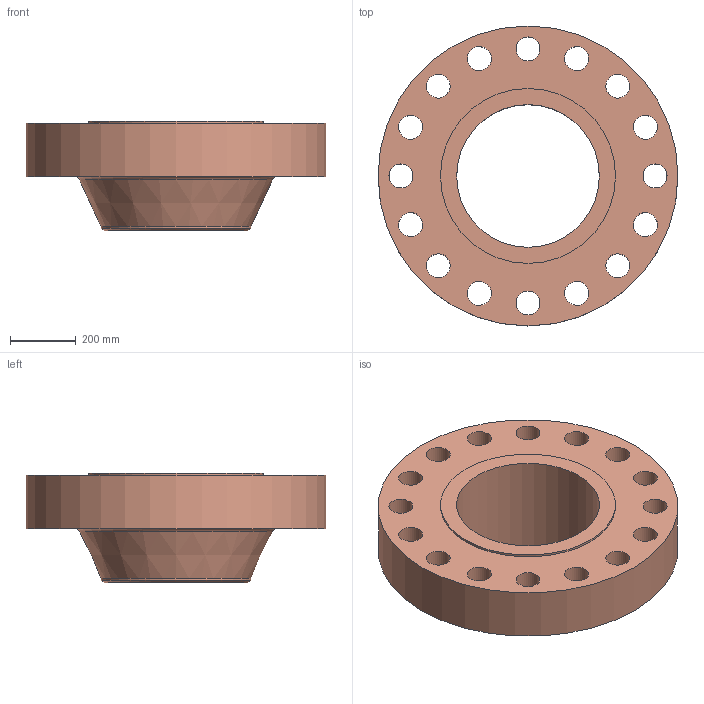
import cadquery as cq
import math

flange_diameter = 914.4
flange_thickness = 162.05
raised_face_diameter = 533.4
raised_face_height = 6.35
overall_height = 333.38

bore_diameter = 434.95
hub_base_diameter = 597.0
neck_diameter = 457.2
hub_fillet_radius = 18.0

neck_straight_length = 6.0
bevel_angle = 37.5
weld_land_width = 1.6

bolt_hole_count = 16
bolt_hole_diameter = 73.03
bolt_circle_diameter = 774.7

wall_thickness = (neck_diameter - bore_diameter) / 2
bevel_width = wall_thickness - weld_land_width
neck_bottom = bevel_width * math.tan(math.radians(bevel_angle))
neck_top = neck_bottom + neck_straight_length
flange_top = overall_height - raised_face_height
flange_bottom = flange_top - flange_thickness


def make_neck():
    """Solid tapered hub with a bevelled welding end, up to the flange underside."""
    neck_radius = neck_diameter / 2
    profile = (
        cq.Workplane("XZ")
        .moveTo(0, 0)
        .lineTo(-(neck_radius - bevel_width), 0)
        .lineTo(-neck_radius, neck_bottom)
        .lineTo(-neck_radius, neck_top)
        .lineTo(-hub_base_diameter / 2, flange_bottom)
        .lineTo(0, flange_bottom)
        .close()
    )
    return profile.revolve(360, (0, 0, 0), (0, 1, 0))


def make_disc(diameter, bottom, height):
    """Upright disc centred on the Z axis."""
    return cq.Workplane("XY").workplane(offset=bottom).circle(diameter / 2).extrude(height)


def fillet_hub_base(body):
    """Round the inside corner where the hub meets the flange underside."""
    margin = 1.0
    reach = hub_base_diameter / 2 + margin
    corner = cq.selectors.BoxSelector(
        (-reach, -reach, flange_bottom - margin),
        (reach, reach, flange_bottom + margin),
        boundingbox=True,
    )
    return body.edges(corner).fillet(hub_fillet_radius)


def cut_bolt_holes(body):
    """Drill the bolt circle straight through the flange disc."""
    holes = (
        cq.Workplane("XY")
        .workplane(offset=flange_bottom)
        .polarArray(bolt_circle_diameter / 2, 0, 360, bolt_hole_count)
        .circle(bolt_hole_diameter / 2)
        .extrude(flange_thickness)
    )
    return body.cut(holes)


flange = make_disc(flange_diameter, flange_bottom, flange_thickness)
raised_face = make_disc(raised_face_diameter, flange_top, raised_face_height)
bore = make_disc(bore_diameter, 0, overall_height)

body = fillet_hub_base(flange.union(make_neck()))
body = body.union(raised_face).cut(bore)
result = cut_bolt_holes(body)